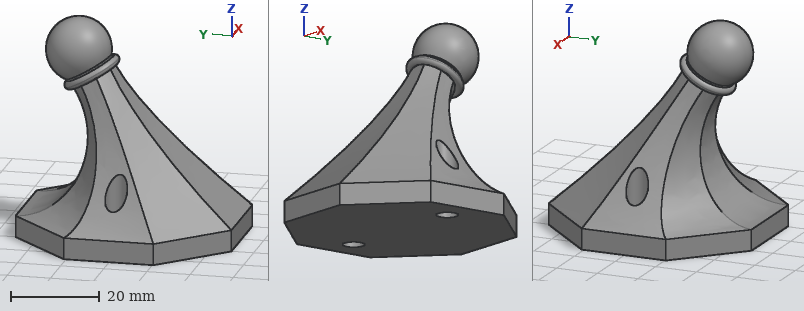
import cadquery as cq
import math

sides = 8
base_width = 50.0
base_height = 5.0

tilt = 30.0
neck_center = (0, 9.75, 36.9)
neck_half_width = 5.0
ball_radius = 7.5
ball_offset = 6.0
ring_outer_radius = 7.0
ring_thickness = 2.0

lower_control_center = (0, -0.6, 10.25)
lower_control_tilt = 22.0
lower_control_half_width = 18.75
lower_control_half_depth = 13.5
upper_control_center = (0, 2.3, 25.1)
upper_control_tilt = 56.0
upper_control_half_width = 9.0
upper_control_half_depth = 4.1

hole_diameter = 5.0
hole_spacing = 35.0


def leaning_plane(center, angle):
    """Plane whose normal leans from +Z towards +Y."""
    lean = math.radians(angle)
    return cq.Plane(origin=center, xDir=(1, 0, 0), normal=(0, math.sin(lean), math.cos(lean)))


neck_plane = leaning_plane(neck_center, tilt)
axis = neck_plane.zDir


def octagon_points(plane, half_width, half_depth):
    """Corners of an octagon with flats facing the plane's X and Y directions."""
    corner_scale = 1 / math.cos(math.pi / sides)
    angles = [(i + 0.5) * 2 * math.pi / sides for i in range(sides)]
    return [
        plane.toWorldCoords(
            (half_width * corner_scale * math.cos(a), half_depth * corner_scale * math.sin(a))
        )
        for a in angles
    ]


def make_base():
    corner_diameter = base_width / math.cos(math.pi / sides)
    plate = cq.Workplane("XY").polygon(sides, corner_diameter).extrude(base_height)
    return plate.rotate((0, 0, 0), (0, 0, 1), 180 / sides)


def make_flare():
    """Solid whose eight corner edges are Bezier curves from the plate to the neck."""
    base_plane = cq.Plane(origin=(0, 0, base_height))
    lower_plane = leaning_plane(lower_control_center, lower_control_tilt)
    upper_plane = leaning_plane(upper_control_center, upper_control_tilt)
    bottom = octagon_points(base_plane, base_width / 2, base_width / 2)
    lower_control = octagon_points(lower_plane, lower_control_half_width, lower_control_half_depth)
    upper_control = octagon_points(upper_plane, upper_control_half_width, upper_control_half_depth)
    top = octagon_points(neck_plane, neck_half_width, neck_half_width)

    corner_edges = [
        cq.Edge.makeBezier(list(points))
        for points in zip(bottom, lower_control, upper_control, top)
    ]
    faces = [
        cq.Face.makeRuledSurface(corner_edges[i - 1], corner_edges[i])
        for i in range(sides)
    ]
    for outline in (bottom, top):
        faces.append(cq.Face.makeFromWires(cq.Wire.makePolygon(outline, close=True)))
    return cq.Workplane(cq.Solid.makeSolid(cq.Shell.makeShell(faces)))


def make_ball():
    center = cq.Vector(*neck_center) + axis * ball_offset
    return cq.Workplane("XY").sphere(ball_radius).translate(center)


def make_ring():
    tube_radius = ring_thickness / 2
    torus = cq.Solid.makeTorus(
        ring_outer_radius - tube_radius, tube_radius, cq.Vector(*neck_center), axis
    )
    collar = (
        cq.Workplane(neck_plane)
        .circle(ring_outer_radius - tube_radius)
        .extrude(ball_offset)
    )
    return collar.union(cq.Workplane(torus))


def make_holes():
    return (
        cq.Workplane("XY")
        .rarray(hole_spacing, 0.5, 2, 1)
        .circle(hole_diameter / 2)
        .extrude(base_width)
    )


result = make_base().union(make_flare()).union(make_ring()).union(make_ball()).cut(make_holes())